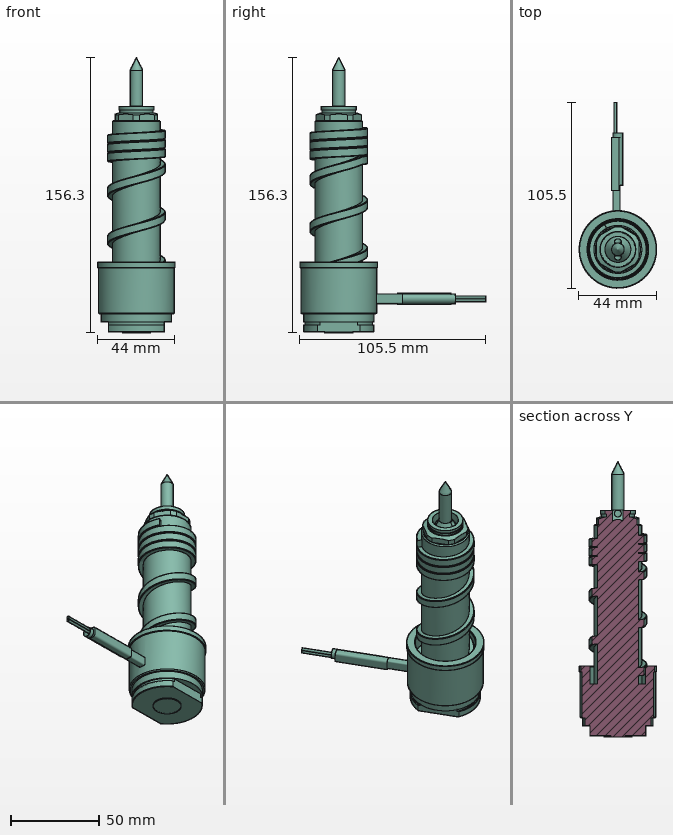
import cadquery as cq
import math

total_height = 156.3

boss_radius = 8.0
boss_height = 0.6
disk_radius = 20.0
disk_top = 4.5
groove_radius = 19.2
groove_top = 6.4
cup_bottom = 10.8
cup_radius = 21.5
flange_radius = 22.0
flange_bottom = 36.9
cup_top = 40.3
cup_edge = 0.6
flange_edge = 0.3
disk_edge = 0.3
flats_width = 31.9
bore_radius = 17.0
bore_edge = 0.5
bore_floor = 30.2

tube_radius = 13.6
tube_top = 120.7
tube_edge = 0.8
nut_across_flats = 24.0
nut_corner_radius = 13.0
nut_shoulder = 123.8
nut_top = 124.9
nut_top_radius = 10.2
neck_radius = 9.5
neck_top = 126.5
collar_radius = 10.0
collar_top = 128.6

recess_radius = 7.3
pin_radius = 3.6
pin_cone_radius = 3.3
pin_cone_bottom = 149.9
pin_shoulder = 149.0
flare_top = 128.8
flare_bottom = 122.7
cross_hole_diameter = 3.9
cross_hole_z = 126.8

spring_radius = 16.4
strip_height = 4.8
strip_edge = 0.39
strip_overlap = 0.3
open_pitch = 27.2
closed_pitch = 5.2
spring_top_angle = 118.0
spring_top_middle = 114.3
pitch_change_angle = 56.0
whole_closed_turns = 3
closed_turns = whole_closed_turns + (spring_top_angle - pitch_change_angle) / 360

cable_z = 19.4
cable_start = 18.8
cable_x = (-2.8, 1.33)
cable_height = 5.6
cable_corner = 0.8
sleeve_x = (-3.8, 1.0)
sleeve_y = (33.3, 63.6)
sleeve_height = 6.4
sleeve_corner = 1.3
tube_sleeve_diameter = 5.6
tube_sleeve_y = (36.3, 66.1)
wire_diameter = 1.7
wire_x = -1.48
wire_end = 83.5


def cylinder(radius, bottom, top):
    return cq.Workplane("XY").workplane(offset=bottom).circle(radius).extrude(top - bottom)


def make_cup():
    foot = cylinder(disk_radius, boss_height, disk_top).faces("<Z").edges().chamfer(disk_edge)
    foot = foot.union(cylinder(groove_radius, disk_top, groove_top))
    flats = cq.Workplane("XY").box(flats_width, 2 * disk_radius, groove_top, centered=(True, True, False))
    foot = foot.intersect(flats)
    foot = foot.union(cylinder(boss_radius, 0, boss_height))
    body = cylinder(cup_radius, cup_bottom, flange_bottom).faces("<Z").edges().chamfer(cup_edge)
    flange = cylinder(flange_radius, flange_bottom, cup_top).edges().chamfer(flange_edge)
    cup = foot.union(cylinder(disk_radius, groove_top, cup_bottom)).union(body).union(flange)
    bore = cylinder(bore_radius, bore_floor, cup_top)
    rim = cq.Solid.makeCone(bore_radius, bore_radius + bore_edge, bore_edge)
    return cup.cut(bore).cut(cq.Workplane(rim).translate((0, 0, cup_top - bore_edge)))


def make_nut():
    corner_diameter = nut_across_flats / math.cos(math.pi / 6)
    hexagon = (
        cq.Workplane("XY")
        .workplane(offset=tube_top)
        .transformed(rotate=(0, 0, 90))
        .polygon(6, corner_diameter)
        .extrude(nut_top - tube_top)
    )
    envelope = (
        cq.Workplane("XZ")
        .moveTo(0, tube_top)
        .lineTo(nut_corner_radius, tube_top)
        .lineTo(nut_corner_radius, nut_shoulder)
        .lineTo(nut_top_radius, nut_top)
        .lineTo(0, nut_top)
        .close()
        .revolve(360, (0, 0, 0), (0, 1, 0))
    )
    return hexagon.intersect(envelope)


def make_stem():
    tube = cylinder(tube_radius, bore_floor, tube_top).faces(">Z").edges().chamfer(tube_edge)
    neck = cylinder(neck_radius, tube_top, neck_top)
    collar = cylinder(collar_radius, neck_top, collar_top)
    return tube.union(make_nut()).union(neck).union(collar)


def make_pin():
    stem = make_stem().cut(cylinder(recess_radius, flare_bottom, collar_top))
    pin = (
        cq.Workplane("XZ")
        .moveTo(0, flare_bottom)
        .lineTo(recess_radius, flare_bottom)
        .lineTo(pin_radius, flare_top)
        .lineTo(pin_radius, pin_shoulder)
        .lineTo(pin_cone_radius, pin_cone_bottom)
        .lineTo(0, total_height)
        .close()
        .revolve(360, (0, 0, 0), (0, 1, 0))
    )
    hole = (
        cq.Workplane("XZ")
        .center(0, cross_hole_z)
        .circle(cross_hole_diameter / 2)
        .extrude(recess_radius, both=True)
    )
    return stem.union(pin.cut(hole))


def make_coil(pitch, turns, start_angle, start_middle):
    inner_radius = tube_radius - strip_overlap
    middle_radius = (spring_radius + inner_radius) / 2
    half_height = strip_height / 2
    path = cq.Wire.makeHelix(pitch, pitch * turns, middle_radius)
    coil = (
        cq.Workplane("XZ")
        .moveTo(inner_radius, -half_height)
        .lineTo(spring_radius - strip_edge, -half_height)
        .lineTo(spring_radius, strip_edge - half_height)
        .lineTo(spring_radius, half_height - strip_edge)
        .lineTo(spring_radius - strip_edge, half_height)
        .lineTo(inner_radius, half_height)
        .close()
        .sweep(cq.Workplane(path), isFrenet=True)
    )
    return coil.rotate((0, 0, 0), (0, 0, 1), start_angle).translate((0, 0, start_middle))


def make_spring():
    change_middle = spring_top_middle - closed_pitch * closed_turns
    closed = make_coil(closed_pitch, closed_turns, pitch_change_angle, change_middle)
    open_drop = change_middle - (bore_floor - strip_overlap + strip_height / 2)
    open_turns = open_drop / open_pitch
    start_angle = pitch_change_angle - 360 * open_turns
    opened = make_coil(open_pitch, open_turns, start_angle, change_middle - open_drop)
    return opened.union(closed)


def bar_along_y(x_range, y_range, height, corner):
    width = x_range[1] - x_range[0]
    length = y_range[1] - y_range[0]
    middle = ((x_range[0] + x_range[1]) / 2, (y_range[0] + y_range[1]) / 2, cable_z)
    return cq.Workplane("XY").box(width, length, height).edges("|Y").fillet(corner).translate(middle)


def rod_along_y(x, z, diameter, y_range):
    rod = cq.Workplane("XZ").circle(diameter / 2).extrude(-(y_range[1] - y_range[0]))
    return rod.translate((x, y_range[0], z))


def make_cable():
    cable = bar_along_y(cable_x, (cable_start, sleeve_y[1]), cable_height, cable_corner)
    cable = cable.union(bar_along_y(sleeve_x, sleeve_y, sleeve_height, sleeve_corner))
    cable = cable.union(rod_along_y(0, cable_z, tube_sleeve_diameter, tube_sleeve_y))
    for side in (-1, 1):
        wire_z = cable_z + side * wire_diameter / 2
        cable = cable.union(rod_along_y(wire_x, wire_z, wire_diameter, (sleeve_y[1], wire_end)))
    return cable


result = make_cup().union(make_pin()).union(make_spring()).union(make_cable())